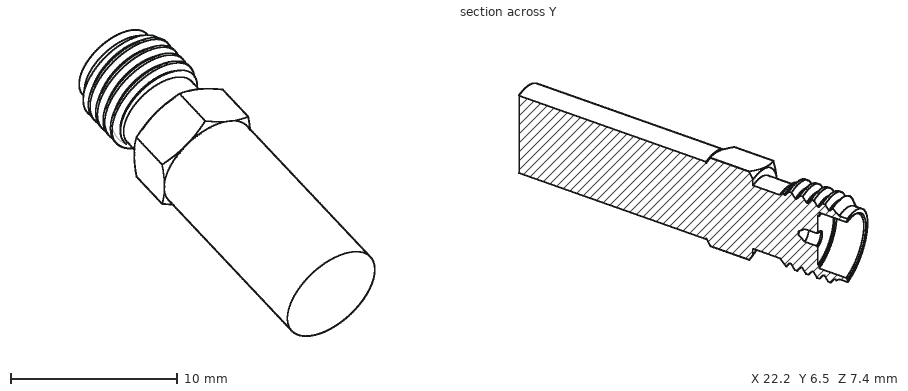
import cadquery as cq

length = 22.2
tip_length = 0.55
thread_end = 4.57
hex_start = 6.37
hex_end = 9.55

neck_radius = 2.66
body_diameter = 6.5
hex_corner_diameter = 7.4
hex_face_radius = 3.15
hex_chamfer_length = 0.27
hex_turn = 30

thread_radius = 3.2
thread_root_radius = 2.8
thread_pitch = 0.75
groove_width = 0.58
groove_floor_width = 0.07
front_chamfer = 0.6
rear_chamfer = 0.45
groove_start = 0.09
groove_turns = 6.0
blank_turn = 270
cutter_overlap = 0.09

socket_radius = 2.3
socket_mouth_radius = 2.4
socket_mouth_depth = 0.09
socket_depth = 2.0
insert_radius = 2.05
insert_recess = 0.09

contact_radius = 0.58
contact_depth = 0.89
contact_lead_radius = 0.5
contact_lead_depth = 0.09
contact_tip_length = 0.45
contact_tip_radius = 0.1


def turned(points):
    """Revolve a closed (x, radius) outline about the X axis."""
    return cq.Workplane("XY").polyline(points).close().revolve(360, (0, 0, 0), (1, 0, 0))


def rod(start, end, radius):
    return cq.Workplane("YZ").workplane(offset=start).circle(radius).extrude(end - start)


def make_thread():
    blank = turned([
        (tip_length, 0),
        (tip_length, neck_radius),
        (tip_length + front_chamfer, thread_radius),
        (thread_end - rear_chamfer, thread_radius),
        (thread_end, neck_radius),
        (thread_end, 0),
    ]).rotate((0, 0, 0), (1, 0, 0), blank_turn)
    flank_slope = (groove_width - groove_floor_width) / 2 / (thread_radius - thread_root_radius)
    outer_half_width = groove_width / 2 + cutter_overlap * flank_slope
    floor_half_width = groove_floor_width / 2
    outer_radius = thread_radius + cutter_overlap
    path = cq.Wire.makeHelix(thread_pitch, thread_pitch * groove_turns, thread_root_radius)
    cutter = (
        cq.Workplane("XZ")
        .polyline([
            (thread_root_radius, -floor_half_width),
            (outer_radius, -outer_half_width),
            (outer_radius, outer_half_width),
            (thread_root_radius, floor_half_width),
        ])
        .close()
        .sweep(cq.Workplane(obj=path), isFrenet=True)
        .rotate((0, 0, 0), (0, 1, 0), 90)
        .translate((groove_start, 0, 0))
    )
    return blank.cut(cutter)


def make_hex():
    prism = (
        cq.Workplane("YZ")
        .workplane(offset=hex_start)
        .polygon(6, hex_corner_diameter)
        .extrude(hex_end - hex_start)
        .rotate((0, 0, 0), (1, 0, 0), hex_turn)
    )
    corner_radius = hex_corner_diameter / 2
    envelope = turned([
        (hex_start, 0),
        (hex_start, hex_face_radius),
        (hex_start + hex_chamfer_length, corner_radius),
        (hex_end - hex_chamfer_length, corner_radius),
        (hex_end, hex_face_radius),
        (hex_end, 0),
    ])
    return prism.intersect(envelope)


def make_socket():
    """Socket with a narrow ledge around the slightly recessed insert at its floor."""
    ledge_depth = socket_depth - insert_recess
    return turned([
        (0, 0),
        (0, socket_mouth_radius),
        (socket_mouth_depth, socket_radius),
        (ledge_depth, socket_radius),
        (ledge_depth, insert_radius),
        (socket_depth, insert_radius),
        (socket_depth, 0),
    ])


def make_contact_hole():
    """Blind contact hole with a chamfered mouth and tapered bottom."""
    straight_end = socket_depth + contact_depth
    tip_end = straight_end + contact_tip_length
    return turned([
        (socket_depth, 0),
        (socket_depth, contact_radius),
        (socket_depth + contact_lead_depth, contact_lead_radius),
        (straight_end, contact_lead_radius),
        (tip_end, contact_tip_radius),
        (tip_end, 0),
    ])


result = (
    rod(0, hex_end, neck_radius)
    .union(make_thread())
    .union(make_hex())
    .union(rod(hex_end, length, body_diameter / 2))
    .cut(make_socket())
    .cut(make_contact_hole())
)